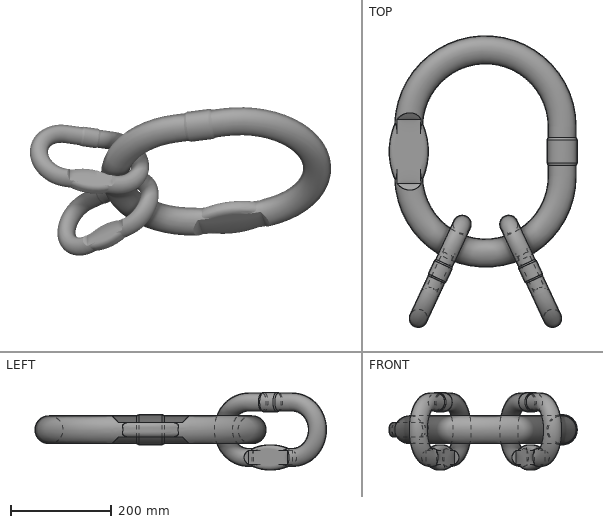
import cadquery as cq
import math

MASTER = {
    "wire_dia": 56.0,
    "bend_radius": 153.0,
    "straight": 99.5,
    "sleeve_dia": 60.5,
    "sleeve_length": 45.5,
    "sleeve_taper": 5.0,
    "flat_length": 128.0,
    "flat_thickness": 29.5,
    "bulge_width": 78.5,
    "bulge_length": 109.5,
    "bulge_round": 10.5,
}

SUB = {
    "wire_dia": 36.0,
    "bend_radius": 55.0,
    "straight": 96.5,
    "sleeve_dia": 39.0,
    "sleeve_length": 29.0,
    "sleeve_taper": 3.5,
    "flat_length": 86.0,
    "flat_thickness": 23.0,
    "bulge_width": 50.5,
    "bulge_length": 73.0,
    "bulge_round": 8.0,
}
SUB_X = 90.0
SUB_Y = -239.0
SPLAY = 25.0

BULGE_OVERRUN = 7.0


def wire_ring(link):
    """Oblong ring of round wire centred on the origin."""
    wire_radius = link["wire_dia"] / 2
    bend_radius = link["bend_radius"]
    half_straight = link["straight"] / 2
    path = (
        cq.Workplane("XY")
        .moveTo(bend_radius, -half_straight)
        .lineTo(bend_radius, half_straight)
        .threePointArc((0, half_straight + bend_radius), (-bend_radius, half_straight))
        .lineTo(-bend_radius, -half_straight)
        .threePointArc((0, -half_straight - bend_radius), (bend_radius, -half_straight))
        .close()
    )
    return (
        cq.Workplane("XZ", origin=(bend_radius, -half_straight, 0))
        .circle(wire_radius)
        .sweep(path)
    )


def weld_sleeve(link):
    """Thickened collar with conical ends on the +X straight."""
    wire_radius = link["wire_dia"] / 2
    sleeve_radius = link["sleeve_dia"] / 2
    half_length = link["sleeve_length"] / 2
    half_total = half_length + link["sleeve_taper"]
    return (
        cq.Workplane("XY")
        .moveTo(0, -half_total)
        .lineTo(wire_radius, -half_total)
        .lineTo(sleeve_radius, -half_length)
        .lineTo(sleeve_radius, half_length)
        .lineTo(wire_radius, half_total)
        .lineTo(0, half_total)
        .close()
        .revolve(360, (0, 0, 0), (0, 1, 0))
        .translate((link["bend_radius"], 0, 0))
    )


def flat_cutter(link):
    """Trapezoidal cut with 45 degree ends that flattens the top of the -X straight."""
    wire_dia = link["wire_dia"]
    half_length = link["flat_length"] / 2
    floor = link["flat_thickness"] / 2
    depth = wire_dia - floor
    return (
        cq.Workplane("YZ")
        .moveTo(-half_length, floor)
        .lineTo(half_length, floor)
        .lineTo(half_length + depth, floor + depth)
        .lineTo(-half_length - depth, floor + depth)
        .close()
        .extrude(wire_dia, both=True)
        .translate((-link["bend_radius"], 0, 0))
    )


def bulge(link):
    """Slab with two bowed sides and rounded long edges, widening the flattened -X straight."""
    half_width = link["bulge_width"] / 2
    half_thickness = link["flat_thickness"] / 2
    half_chord = link["bulge_length"] / 2
    bow = half_width - link["wire_dia"] / 2
    bow_radius = (half_chord**2 + bow**2) / (2 * bow)
    end_y = half_chord + BULGE_OVERRUN
    end_x = half_width - bow_radius + math.sqrt(bow_radius**2 - end_y**2)
    slab = (
        cq.Workplane("XY")
        .workplane(offset=-half_thickness)
        .moveTo(-end_x, -end_y)
        .lineTo(end_x, -end_y)
        .threePointArc((half_width, 0), (end_x, end_y))
        .lineTo(-end_x, end_y)
        .threePointArc((-half_width, 0), (-end_x, -end_y))
        .close()
        .extrude(link["flat_thickness"])
    )
    return slab.edges("%CIRCLE").fillet(link["bulge_round"]).translate((-link["bend_radius"], 0, 0))


def chain_link(link):
    """Complete link in the XY plane: sleeve on the +X side, flattened bulge on the -X side."""
    cutter = flat_cutter(link)
    ring = wire_ring(link).union(weld_sleeve(link))
    ring = ring.cut(cutter).cut(cutter.mirror("XY"))
    return ring.union(bulge(link))


def hang(link_body, side):
    """Turn a flat link upright, sleeve uppermost, and splay it to the given side (-1 or +1)."""
    return (
        link_body
        .rotate((0, 0, 0), (0, 1, 0), -90)
        .rotate((0, 0, 0), (0, 0, 1), side * SPLAY)
        .translate((side * SUB_X, SUB_Y, 0))
    )


master_link = chain_link(MASTER)
sub_links = [hang(chain_link(SUB), side) for side in (-1, 1)]

result = cq.Compound.makeCompound([master_link.val(), *[sub_link.val() for sub_link in sub_links]])